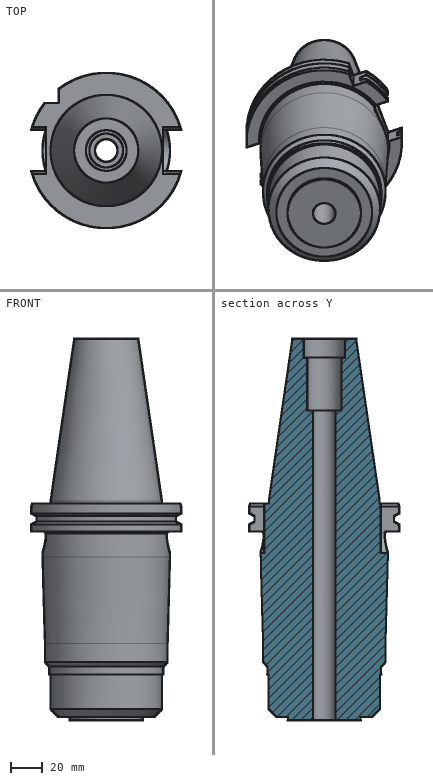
import cadquery as cq
import math


GAUGE_DIA = 69.85
TAPER_RATIO = 7 / 24
TAPER_LENGTH = 101.75
TAPER_SMALL_DIA = GAUGE_DIA - TAPER_RATIO * TAPER_LENGTH

FLANGE_DIA = 97.5
FLANGE_TOP_Z = -1.5
FLANGE_BOTTOM_Z = -19.1
GROOVE_CENTER_Z = -11.2
GROOVE_FLOOR_DIA = 91.25
GROOVE_FLOOR_WIDTH = 3.4
GROOVE_FLANK_ANGLE = 30
ROOT_DIA = 82.0
ROOT_BOTTOM_Z = -20.2

COLLAR_DIA = 80.0
COLLAR_BOTTOM_Z = -35.0
WAIST_DIA = 77.0
WAIST_TOP_Z = -89.2
WAIST_BOTTOM_Z = -101.0
SHOULDER_DIA = 71.7
SHOULDER_TOP_Z = -103.8
SHOULDER_BOTTOM_Z = -108.8
NOSE_DIA = 70.0
NOSE_CHAMFER_TOP_Z = -130.4
NOSE_END_DIA = 60.0
NOSE_BOTTOM_Z = -135.4
PILOT_DIA = 46.0
PART_BOTTOM_Z = -137.4

KEYWAY_WIDTH = 25.7
KEYWAY_BOTTOM_Z = -32.5
KEYWAY_CHAMFER = 2.0
KEYWAY_FLOOR_MINUS_X = 37.7
KEYWAY_FLOOR_PLUS_X = 35.5

NOTCH_OFFSET = 29.9

MOUTH_DIA = 25.5
MOUTH_DEPTH = 12.0
STEP_BORE_DIA = 21.2
STEP_BORE_DEPTH = 45.0
THROUGH_DIA = 14.0


def outer_profile():
    """Half section of the revolved body as (radius, z) points, top to bottom."""
    groove_depth = (FLANGE_DIA - GROOVE_FLOOR_DIA) / 2
    floor_half = GROOVE_FLOOR_WIDTH / 2
    mouth_half = floor_half + groove_depth * math.tan(math.radians(GROOVE_FLANK_ANGLE))
    dia_and_z = [
        (0, TAPER_LENGTH),
        (TAPER_SMALL_DIA, TAPER_LENGTH),
        (GAUGE_DIA, 0),
        (GAUGE_DIA, FLANGE_TOP_Z),
        (FLANGE_DIA, FLANGE_TOP_Z),
        (FLANGE_DIA, GROOVE_CENTER_Z + mouth_half),
        (GROOVE_FLOOR_DIA, GROOVE_CENTER_Z + floor_half),
        (GROOVE_FLOOR_DIA, GROOVE_CENTER_Z - floor_half),
        (FLANGE_DIA, GROOVE_CENTER_Z - mouth_half),
        (FLANGE_DIA, FLANGE_BOTTOM_Z),
        (ROOT_DIA, FLANGE_BOTTOM_Z),
        (COLLAR_DIA, ROOT_BOTTOM_Z),
        (COLLAR_DIA, COLLAR_BOTTOM_Z),
        (WAIST_DIA, WAIST_TOP_Z),
        (WAIST_DIA, WAIST_BOTTOM_Z),
        (SHOULDER_DIA, SHOULDER_TOP_Z),
        (SHOULDER_DIA, SHOULDER_BOTTOM_Z),
        (NOSE_DIA, SHOULDER_BOTTOM_Z),
        (NOSE_DIA, NOSE_CHAMFER_TOP_Z),
        (NOSE_END_DIA, NOSE_BOTTOM_Z),
        (PILOT_DIA, NOSE_BOTTOM_Z),
        (PILOT_DIA, PART_BOTTOM_Z),
        (0, PART_BOTTOM_Z),
    ]
    return [(dia / 2, z) for dia, z in dia_and_z]


def revolved_body():
    return cq.Workplane("XZ").polyline(outer_profile()).close().revolve(360, (0, 0), (0, 1))


def keyway_cutter(side, floor_distance):
    """Round-ended slot with a chamfered mouth, cut from floor_distance outward on one X side."""
    half = KEYWAY_WIDTH / 2
    arc_center_z = KEYWAY_BOTTOM_Z + half
    chamfer_bottom_z = FLANGE_TOP_Z - KEYWAY_CHAMFER
    mouth_half = half + KEYWAY_CHAMFER
    return (
        cq.Workplane("YZ", origin=(side * floor_distance, 0, 0))
        .moveTo(-mouth_half, FLANGE_TOP_Z)
        .lineTo(-half, chamfer_bottom_z)
        .lineTo(-half, arc_center_z)
        .threePointArc((0, KEYWAY_BOTTOM_Z), (half, arc_center_z))
        .lineTo(half, chamfer_bottom_z)
        .lineTo(mouth_half, FLANGE_TOP_Z)
        .close()
        .extrude(side * FLANGE_DIA / 2)
    )


def notch_cutter():
    """Square corner block through the flange on the -X, +Y side."""
    reach = FLANGE_DIA / 2
    return (
        cq.Workplane("XY", origin=(0, 0, FLANGE_BOTTOM_Z))
        .moveTo(-NOTCH_OFFSET, NOTCH_OFFSET)
        .rect(-reach, reach, centered=False)
        .extrude(FLANGE_TOP_Z - FLANGE_BOTTOM_Z)
    )


def bore_cutter(diameter, depth):
    """Cylinder on the axis, going down from the small end of the taper."""
    return cq.Workplane("XY", origin=(0, 0, TAPER_LENGTH)).circle(diameter / 2).extrude(-depth)


result = revolved_body()
result = result.cut(keyway_cutter(-1, KEYWAY_FLOOR_MINUS_X))
result = result.cut(keyway_cutter(1, KEYWAY_FLOOR_PLUS_X))
result = result.cut(notch_cutter())
result = result.cut(bore_cutter(MOUTH_DIA, MOUTH_DEPTH))
result = result.cut(bore_cutter(STEP_BORE_DIA, STEP_BORE_DEPTH))
result = result.cut(bore_cutter(THROUGH_DIA, TAPER_LENGTH - PART_BOTTOM_Z))